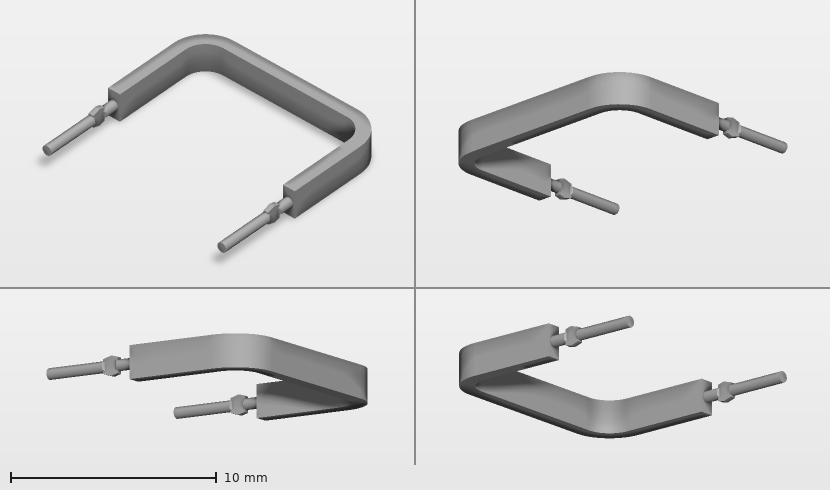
import cadquery as cq

SPAN = 12.22
BAR_WIDTH = 0.78
BAR_HEIGHT = 1.69
BAR_DEPTH = 6.85
OUTER_RADIUS = 2.08
INNER_RADIUS = OUTER_RADIUS - BAR_WIDTH

TOTAL_DEPTH = 11.73
PIN_LENGTH = TOTAL_DEPTH - BAR_DEPTH
PIN_DIAMETER = 0.57
PIN_X = (SPAN - BAR_WIDTH) / 2

FLAT_START = 0.85
FLAT_PEAK = 1.21
FLAT_END = 1.67
FLAT_THICKNESS = 0.3
START_HEIGHT = 0.82
PEAK_HEIGHT = 1.01
END_HEIGHT = 0.73
BLEND = 0.1


def make_bar():
    """Rounded U; the bar ends lie on Y = 0."""
    outer = (
        cq.Workplane("XY")
        .box(SPAN, BAR_DEPTH, BAR_HEIGHT, centered=(True, False, True))
        .edges("|Z and >Y")
        .fillet(OUTER_RADIUS)
    )
    inner = (
        cq.Workplane("XY")
        .box(SPAN - 2 * BAR_WIDTH, BAR_DEPTH - BAR_WIDTH, BAR_HEIGHT, centered=(True, False, True))
        .edges("|Z and >Y")
        .fillet(INNER_RADIUS)
    )
    return outer.cut(inner)


def make_pin():
    """Round pin along -Y on the Y axis, pinched flat over a short stretch."""
    rod = cq.Workplane("XZ").circle(PIN_DIAMETER / 2).extrude(PIN_LENGTH)

    half = FLAT_THICKNESS / 2
    pinch_depth = PIN_DIAMETER / 2
    for side in (-1, 1):
        pinch = (
            cq.Workplane("XY")
            .polyline([
                (side * pinch_depth, -FLAT_START),
                (side * (half + BLEND), -FLAT_START),
                (side * half, -FLAT_START - BLEND),
                (side * half, -FLAT_END + BLEND),
                (side * (half + BLEND), -FLAT_END),
                (side * pinch_depth, -FLAT_END),
            ])
            .close()
            .extrude(PIN_DIAMETER / 2, both=True)
        )
        rod = rod.cut(pinch)

    blade = (
        cq.Workplane("YZ")
        .polyline([
            (-FLAT_START, -START_HEIGHT / 2),
            (-FLAT_START, START_HEIGHT / 2),
            (-FLAT_PEAK, PEAK_HEIGHT / 2),
            (-FLAT_END, END_HEIGHT / 2),
            (-FLAT_END, -END_HEIGHT / 2),
            (-FLAT_PEAK, -PEAK_HEIGHT / 2),
        ])
        .close()
        .extrude(half, both=True)
    )
    return rod.union(blade)


result = make_bar()
for pin_x in (-PIN_X, PIN_X):
    result = result.union(make_pin().translate((pin_x, 0, 0)))
result = result.translate((0, TOTAL_DEPTH / 2 - BAR_DEPTH, 0))